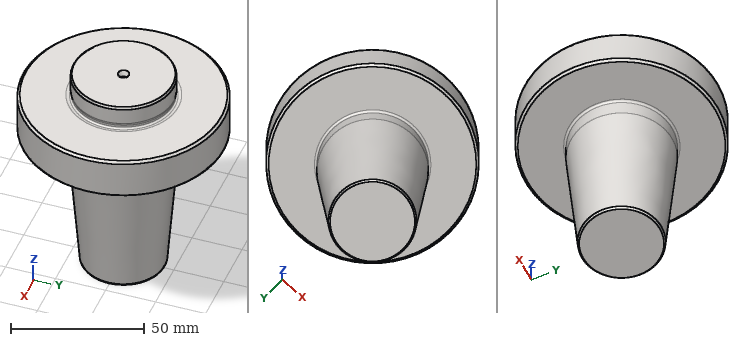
import cadquery as cq
import math

height = 90.0
flange_radius = 40.005
flange_thickness = 17.0
flange_chamfer = 1.0

boss_radius = 20.0
boss_height = 10.0
boss_lead_in_width = 0.5
boss_lead_in_height = 1.0

relief_depth = 0.3
relief_start = 7.6
relief_slope_height = 1.1
relief_corner_radius = 0.7
relief_sink = 0.3
relief_outer_radius = 21.8

stem_radius = 21.0
stem_straight_length = 7.65
stem_tip_radius = 16.6
stem_tip_chamfer_width = 0.6
stem_tip_chamfer_height = 1.0
stem_root_fillet = 0.9

countersink_radius = 2.2
countersink_angle = 60.0
pilot_radius = 1.0
pilot_length = 2.0
drill_tip_angle = 120.0

flange_top = height - boss_height
flange_bottom = flange_top - flange_thickness
taper_top = flange_bottom - stem_straight_length
neck_radius = boss_radius - relief_depth
relief_top = height - relief_start
relief_bottom = flange_top - relief_sink


def make_body():
    """Revolve the stem, flange and relieved boss about Z."""
    corner_sag = relief_corner_radius * (1 - math.cos(math.radians(45)))
    root_sag = stem_root_fillet * (1 - math.cos(math.radians(45)))
    profile = (
        cq.Workplane("XZ")
        .moveTo(0, 0)
        .lineTo(stem_tip_radius - stem_tip_chamfer_width, 0)
        .lineTo(stem_tip_radius, stem_tip_chamfer_height)
        .lineTo(stem_radius, taper_top)
        .lineTo(stem_radius, flange_bottom - stem_root_fillet)
        .threePointArc(
            (stem_radius + root_sag, flange_bottom - root_sag),
            (stem_radius + stem_root_fillet, flange_bottom),
        )
        .lineTo(flange_radius - flange_chamfer, flange_bottom)
        .lineTo(flange_radius, flange_bottom + flange_chamfer)
        .lineTo(flange_radius, flange_top - flange_chamfer)
        .lineTo(flange_radius - flange_chamfer, flange_top)
        .lineTo(relief_outer_radius, flange_top)
        .lineTo(neck_radius + relief_corner_radius, relief_bottom)
        .threePointArc(
            (neck_radius + corner_sag, relief_bottom + corner_sag),
            (neck_radius, relief_bottom + relief_corner_radius),
        )
        .lineTo(neck_radius, relief_top - relief_slope_height)
        .lineTo(boss_radius, relief_top)
        .lineTo(boss_radius, height - boss_lead_in_height)
        .lineTo(boss_radius - boss_lead_in_width, height)
        .lineTo(0, height)
        .close()
    )
    return profile.revolve(360, (0, 0, 0), (0, 1, 0))


def make_centre_hole():
    """Countersink, pilot bore and conical drill tip."""
    countersink_depth = (countersink_radius - pilot_radius) / math.tan(math.radians(countersink_angle / 2))
    tip_depth = pilot_radius / math.tan(math.radians(drill_tip_angle / 2))
    pilot_top = height - countersink_depth
    pilot_bottom = pilot_top - pilot_length
    profile = (
        cq.Workplane("XZ")
        .moveTo(0, height)
        .lineTo(countersink_radius, height)
        .lineTo(pilot_radius, pilot_top)
        .lineTo(pilot_radius, pilot_bottom)
        .lineTo(0, pilot_bottom - tip_depth)
        .close()
    )
    return profile.revolve(360, (0, 0, 0), (0, 1, 0))


result = make_body().cut(make_centre_hole())